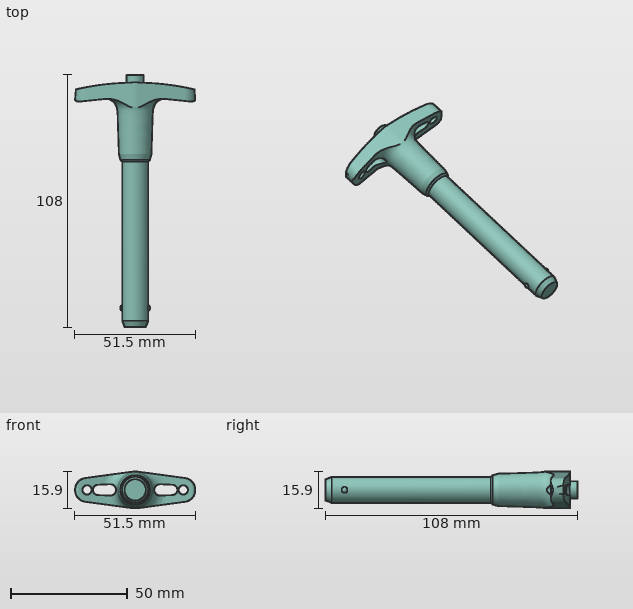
import cadquery as cq
import math

total_length = 108.0
handle_top = 104.6
flare_start = 92.4
collar_widest = 90.9
collar_taper_end = 73.9
collar_nose = 71.6
collar_end = 70.7
tip_chamfer_length = 2.7

pin_radius = 5.6
tip_radius = 4.5
collar_nose_radius = 6.4
collar_small_radius = 7.0
collar_large_radius = 7.6
flare_radius = 7.7
button_radius = 3.8
button_chamfer = 0.3

handle_length = 51.5
handle_width = 15.9
end_radius = 5.2
end_center = handle_length / 2 - end_radius

crown_radius = 111.2
top_half_length = 25.4
end_bottom = 96.4
end_round_start = 24.0
end_round_height = 1.0
round_mid_fraction = 0.3
flare_outer_radius = 14.2
flare_outer_y = 97.5
flare_mid_radius = 9.4
flare_mid_y = 96.2

cord_hole_radius = 1.9
slot_inner_center = 10.6
slot_inner_radius = 2.4
slot_outer_center = 15.9
slot_outer_radius = 2.2

ball_radius = 1.4
ball_y = 8.2
ball_reach = 6.4


def rounded_taper(x_a, radius_a, x_b, radius_b):
    """Prism along Y around two circles on the X axis joined by their common tangents."""
    lean = math.asin((radius_a - radius_b) / (x_b - x_a))
    sine = math.sin(lean)
    cosine = math.cos(lean)
    a_x, a_z = x_a + radius_a * sine, radius_a * cosine
    b_x, b_z = x_b + radius_b * sine, radius_b * cosine
    return (
        cq.Workplane("XZ")
        .moveTo(a_x, a_z)
        .lineTo(b_x, b_z)
        .threePointArc((x_b + radius_b, 0), (b_x, -b_z))
        .lineTo(a_x, -a_z)
        .threePointArc((x_a - radius_a, 0), (a_x, a_z))
        .close()
        .extrude(-total_length)
    )


def make_handle():
    plan = rounded_taper(0, handle_width / 2, end_center, end_radius)
    plan = plan.union(plan.mirror("YZ"))

    half_length = handle_length / 2
    crown_drop = crown_radius - math.sqrt(crown_radius**2 - top_half_length**2)
    shoulder_y = handle_top - crown_drop
    round_top = end_bottom + end_round_height
    round_mid_x = half_length - round_mid_fraction * (half_length - end_round_start)
    round_mid_y = end_bottom + round_mid_fraction * end_round_height
    side = (
        cq.Workplane("XY")
        .moveTo(-top_half_length, shoulder_y)
        .threePointArc((0, handle_top), (top_half_length, shoulder_y))
        .lineTo(half_length, round_top)
        .threePointArc((round_mid_x, round_mid_y), (end_round_start, end_bottom))
        .lineTo(end_round_start, flare_start)
        .lineTo(-end_round_start, flare_start)
        .lineTo(-end_round_start, end_bottom)
        .threePointArc((-round_mid_x, round_mid_y), (-half_length, round_top))
        .close()
        .extrude(handle_width / 2, both=True)
    )

    underside = (
        cq.Workplane("XY")
        .moveTo(0, flare_start)
        .lineTo(flare_radius, flare_start)
        .threePointArc((flare_mid_radius, flare_mid_y), (flare_outer_radius, flare_outer_y))
        .lineTo(end_round_start, end_bottom)
        .lineTo(handle_length, end_bottom)
        .lineTo(handle_length, total_length)
        .lineTo(0, total_length)
        .close()
        .revolve(360, (0, 0, 0), (0, 1, 0))
    )
    return plan.intersect(side).intersect(underside)


def cut_wing_openings(handle):
    slot = rounded_taper(slot_inner_center, slot_inner_radius, slot_outer_center, slot_outer_radius)
    cord_hole = (
        cq.Workplane("XZ").center(end_center, 0).circle(cord_hole_radius).extrude(-total_length)
    )
    openings = slot.union(cord_hole)
    return handle.cut(openings).cut(openings.mirror("YZ"))


def make_pin():
    """Pin, collar and button as one turned body about Y."""
    profile = [
        (0, 0),
        (tip_radius, 0),
        (pin_radius, tip_chamfer_length),
        (pin_radius, collar_end),
        (collar_nose_radius, collar_nose),
        (collar_small_radius, collar_taper_end),
        (collar_large_radius, collar_widest),
        (flare_radius, flare_start),
        (button_radius, flare_start),
        (button_radius, total_length - button_chamfer),
        (button_radius - button_chamfer, total_length),
        (0, total_length),
    ]
    return cq.Workplane("XY").polyline(profile).close().revolve(360, (0, 0, 0), (0, 1, 0))


def add_locking_balls(body):
    ball_x = ball_reach - ball_radius
    for side in (-1, 1):
        ball = cq.Workplane("XY").sphere(ball_radius).translate((side * ball_x, ball_y, 0))
        body = body.union(ball)
    return body


result = add_locking_balls(make_pin().union(cut_wing_openings(make_handle())))